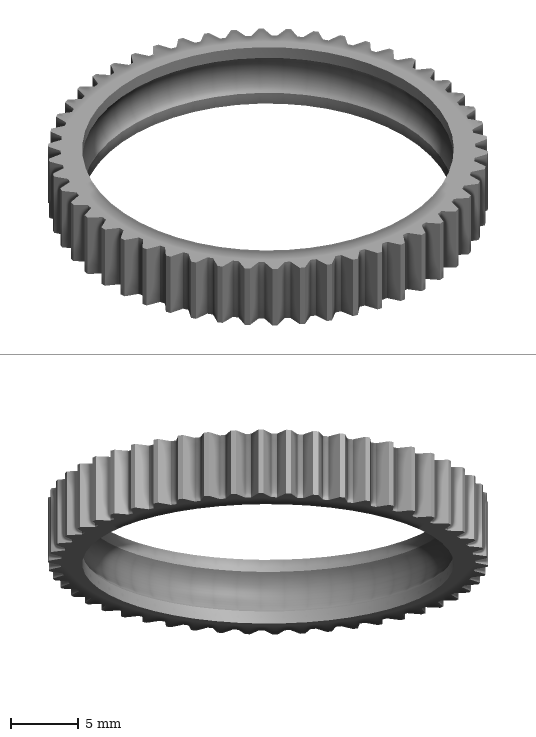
import cadquery as cq
import math

TOOTH_COUNT = 50
TIP_DIAMETER = 32.72
ROOT_DIAMETER = 30.85
BORE_DIAMETER = 27.65
FACE_WIDTH = 5.0

TIP_WIDTH = 0.4
BASE_WIDTH = 1.5

GROOVE_WIDTH = 3.1
GROOVE_DEPTH = 0.7

tip_radius = TIP_DIAMETER / 2
root_radius = ROOT_DIAMETER / 2
bore_radius = BORE_DIAMETER / 2
half_face = FACE_WIDTH / 2


def on_circle(radius, angle):
    """Point at an angle measured from +Y, positive towards -X."""
    return (-radius * math.sin(angle), radius * math.cos(angle))


def gear_outline():
    """Closed outline of all teeth, with arcs along the tips and the roots."""
    pitch_angle = 2 * math.pi / TOOTH_COUNT
    tip_half_angle = math.asin(TIP_WIDTH / 2 / tip_radius)
    base_half_angle = math.asin(BASE_WIDTH / 2 / root_radius)

    outline = cq.Workplane("XY").workplane(offset=-half_face)
    outline = outline.moveTo(*on_circle(root_radius, -base_half_angle))
    for tooth in range(TOOTH_COUNT):
        centre = tooth * pitch_angle
        next_base = centre + pitch_angle - base_half_angle
        outline = outline.lineTo(*on_circle(tip_radius, centre - tip_half_angle))
        outline = outline.threePointArc(
            on_circle(tip_radius, centre),
            on_circle(tip_radius, centre + tip_half_angle),
        )
        outline = outline.lineTo(*on_circle(root_radius, centre + base_half_angle))
        outline = outline.threePointArc(
            on_circle(root_radius, centre + pitch_angle / 2),
            on_circle(root_radius, next_base),
        )
    return outline.close()


def bore_with_groove():
    """Solid of revolution to remove: the bore and its rounded groove."""
    half_groove = GROOVE_WIDTH / 2
    return (
        cq.Workplane("XZ")
        .moveTo(0, -half_face)
        .lineTo(bore_radius, -half_face)
        .lineTo(bore_radius, -half_groove)
        .threePointArc((bore_radius + GROOVE_DEPTH, 0), (bore_radius, half_groove))
        .lineTo(bore_radius, half_face)
        .lineTo(0, half_face)
        .close()
        .revolve(360, (0, 0, 0), (0, 1, 0))
    )


result = gear_outline().extrude(FACE_WIDTH).cut(bore_with_groove())